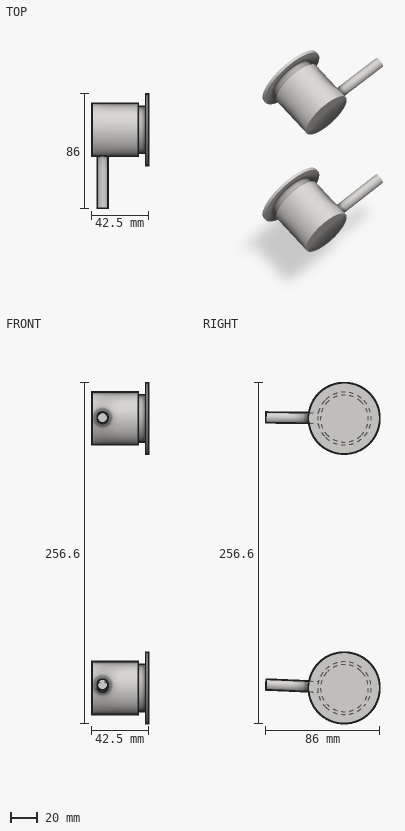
import cadquery as cq
import math

overall_height = 256.6
overall_length = 42.5

flange_diameter = 54.0
flange_thickness = 2.3
neck_diameter = 35.7

knob_diameter = 40.0
knob_length = 35.0
lever_diameter = 8.2
lever_setback = 8.0
lever_reach = 59.0

axis_height = (overall_height - flange_diameter) / 2
upper_lever_tilt = 0.7
lower_lever_tilt = 2.5
taps = [(axis_height, upper_lever_tilt), (-axis_height, lower_lever_tilt)]


def disc(start_x, end_x, diameter):
    """Cylinder along X, centred on the tap axis."""
    return cq.Workplane("YZ", origin=(start_x, 0, 0)).circle(diameter / 2).extrude(end_x - start_x)


def make_handle(lever_tilt):
    """Knob with its lever; the lever starts on the knob axis inside the knob."""
    tilt = math.radians(lever_tilt)
    lever_direction = cq.Vector(0, -math.cos(tilt), math.sin(tilt))
    lever_length = (lever_reach - lever_diameter / 2 * math.sin(tilt)) / math.cos(tilt)
    lever = cq.Solid.makeCylinder(
        lever_diameter / 2, lever_length, cq.Vector(lever_setback, 0, 0), lever_direction
    )
    return disc(0, knob_length, knob_diameter).union(cq.Workplane(lever))


def make_base():
    """Flange and the neck that meets the back of the knob."""
    flange_front = overall_length - flange_thickness
    neck = disc(knob_length, flange_front, neck_diameter)
    return neck.union(disc(flange_front, overall_length, flange_diameter))


bodies = []
for height, lever_tilt in taps:
    for body in (make_handle(lever_tilt), make_base()):
        bodies.append(body.translate((0, 0, height)).val())

result = cq.Compound.makeCompound(bodies)